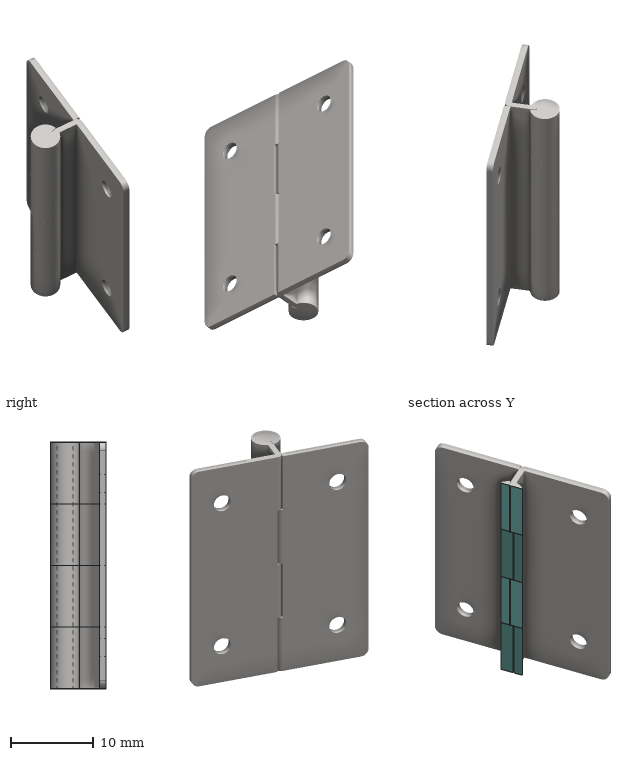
import cadquery as cq
import math

hinge_width = 23.0
hinge_depth = 6.8
hinge_height = 30.0
knuckle_count = 4
knuckle_height = hinge_height / knuckle_count

plate_thickness = 0.8
web_thickness = 0.72
bend_radius = 0.7
corner_radius = 1.0

hole_diameter = 2.2
hole_offset_x = 7.5
hole_offset_z = 10.0

knuckle_radius = 1.8
pin_radius = 1.0
seam_gap = 0.1
seam_fillet = 0.18

back_y = hinge_depth - knuckle_radius
front_y = back_y - plate_thickness
half_web = web_thickness / 2
seam_start = math.pi / 2 + math.asin(half_web / knuckle_radius)
half_width = hinge_width / 2
half_height = hinge_height / 2


def make_plate():
    """Flat plate on the +X side, with rounded outer corners and two mounting holes."""
    plate_width = half_width - half_web
    plate = (
        cq.Workplane("XY")
        .box(plate_width, plate_thickness, hinge_height, centered=(False, False, True))
        .translate((half_web, front_y, 0))
        .edges("|Y and >X")
        .fillet(corner_radius)
    )
    holes = (
        cq.Workplane("XZ", origin=(0, back_y, 0))
        .pushPoints([(hole_offset_x, -hole_offset_z), (hole_offset_x, hole_offset_z)])
        .circle(hole_diameter / 2)
        .extrude(plate_thickness)
    )
    return plate.cut(holes)


def make_seam():
    """Radial slit that separates the free end of the roll from the web."""
    seam_end = seam_start + seam_gap / knuckle_radius
    reach = 2 * knuckle_radius
    points = [(reach * math.cos(angle), reach * math.sin(angle)) for angle in (seam_start, seam_end)]
    return cq.Workplane("XY").polyline([(0, 0), *points]).close().extrude(knuckle_height)


def make_knuckle(bottom_z):
    """One rolled knuckle with the web that bends into the +X plate."""
    roll = cq.Workplane("XY").circle(knuckle_radius).extrude(knuckle_height)
    web = (
        cq.Workplane("XY")
        .box(web_thickness, back_y, knuckle_height, centered=(True, False, False))
        .edges("|Z and <X and >Y")
        .fillet(bend_radius)
    )
    bore = cq.Workplane("XY").circle(pin_radius).extrude(knuckle_height)
    knuckle = roll.union(web).cut(bore).cut(make_seam())
    seam_corner = (pin_radius * math.cos(seam_start), pin_radius * math.sin(seam_start), knuckle_height / 2)
    knuckle = knuckle.edges("|Z").edges(cq.NearestToPointSelector(seam_corner)).fillet(seam_fillet)
    return knuckle.translate((0, 0, bottom_z))


def make_leaf(first_knuckle):
    """Leaf on the +X side that owns every second knuckle, counted from the bottom."""
    leaf = make_plate()
    for index in range(first_knuckle, knuckle_count, 2):
        leaf = leaf.union(make_knuckle(index * knuckle_height - half_height))
    return leaf


right_leaf = make_leaf(first_knuckle=1)
left_leaf = make_leaf(first_knuckle=0).mirror("YZ")
pin = cq.Workplane("XY", origin=(0, 0, -half_height)).circle(pin_radius).extrude(hinge_height)

result = cq.Compound.makeCompound([right_leaf.val(), left_leaf.val(), pin.val()])